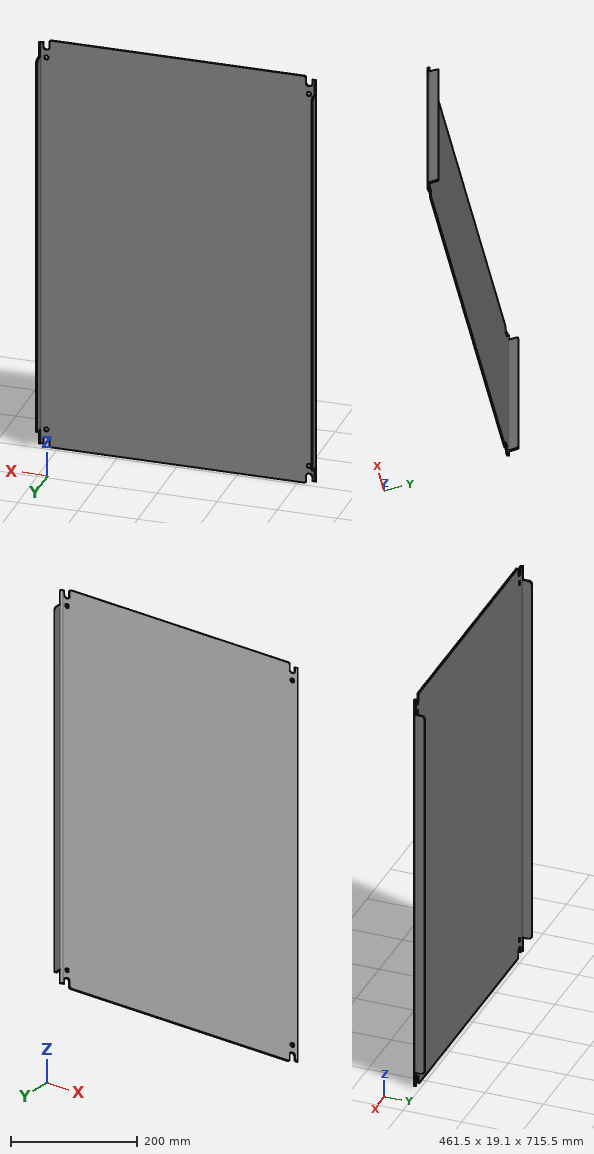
import cadquery as cq

width = 461.52
depth = 19.05
height = 715.52

thickness = 2.5
bend_outer_radius = 3.0
bend_inner_radius = bend_outer_radius - thickness

flange_height = 656.0
flange_corner_radius = 5.5

strip_setback = 5.0
strip_depth = 4.0

notch_width = 10.5
notch_depth = 17.0
notch_offset = 12.0
panel_corner_radius = 3.0
hole_diameter = 7.0
hole_offset = 30.5

half_width = width / 2
half_height = height / 2
notch_x = half_width - notch_offset
notch_radius = notch_width / 2
notch_inner_x = notch_x - notch_radius
notch_outer_x = notch_x + notch_radius
notch_centre_z = half_height - notch_depth + notch_radius
strip_top_z = half_height - strip_setback
hole_z = half_height - hole_offset


def bent_sheet():
    """U-shaped sheet: flat panel with a rounded bend and a flange at each side."""
    outer = (
        cq.Workplane("XY")
        .rect(width, depth)
        .extrude(height)
        .translate((0, depth / 2, -half_height))
        .edges("|Z and <Y")
        .fillet(bend_outer_radius)
    )
    inner = (
        cq.Workplane("XY")
        .rect(width - 2 * thickness, depth)
        .extrude(height)
        .translate((0, depth / 2 + thickness, -half_height))
        .edges("|Z and <Y")
        .fillet(bend_inner_radius)
    )
    return outer.cut(inner)


def front_outline():
    """Solid through the depth with the front outline: panel, notches and edge strips."""
    panel = (
        cq.Workplane("XZ")
        .rect(2 * notch_inner_x, height)
        .extrude(-depth)
        .edges("|Y")
        .fillet(panel_corner_radius)
    )
    strips = cq.Workplane("XZ").rect(width, 2 * strip_top_z).extrude(-depth)
    outline = panel.union(strips)
    for x_side in (-1, 1):
        for z_side in (-1, 1):
            outline = outline.cut(notch(x_side, z_side))
    return outline


def notch(x_side, z_side):
    """Corner notch with a round bottom, open at the top or bottom edge."""
    return (
        cq.Workplane("XZ")
        .moveTo(x_side * notch_inner_x, z_side * half_height)
        .lineTo(x_side * notch_inner_x, z_side * notch_centre_z)
        .threePointArc(
            (x_side * notch_x, z_side * (notch_centre_z - notch_radius)),
            (x_side * notch_outer_x, z_side * notch_centre_z),
        )
        .lineTo(x_side * notch_outer_x, z_side * half_height)
        .close()
        .extrude(-depth)
    )


def side_outline():
    """Solid across the width with the side outline: full-height front layer, shorter flange."""
    strip_zone = (
        cq.Workplane("YZ")
        .rect(strip_depth, height)
        .extrude(half_width, both=True)
        .translate((0, strip_depth / 2, 0))
    )
    flange_zone = (
        cq.Workplane("YZ")
        .rect(depth, flange_height)
        .extrude(half_width, both=True)
        .translate((0, depth / 2, 0))
        .edges("|X and >Y")
        .fillet(flange_corner_radius)
    )
    return strip_zone.union(flange_zone)


def mounting_holes():
    """One hole inward of each corner notch, in line with it."""
    return (
        cq.Workplane("XZ")
        .rect(2 * notch_x, 2 * hole_z, forConstruction=True)
        .vertices()
        .circle(hole_diameter / 2)
        .extrude(-depth)
    )


result = (
    bent_sheet()
    .intersect(front_outline())
    .intersect(side_outline())
    .cut(mounting_holes())
)